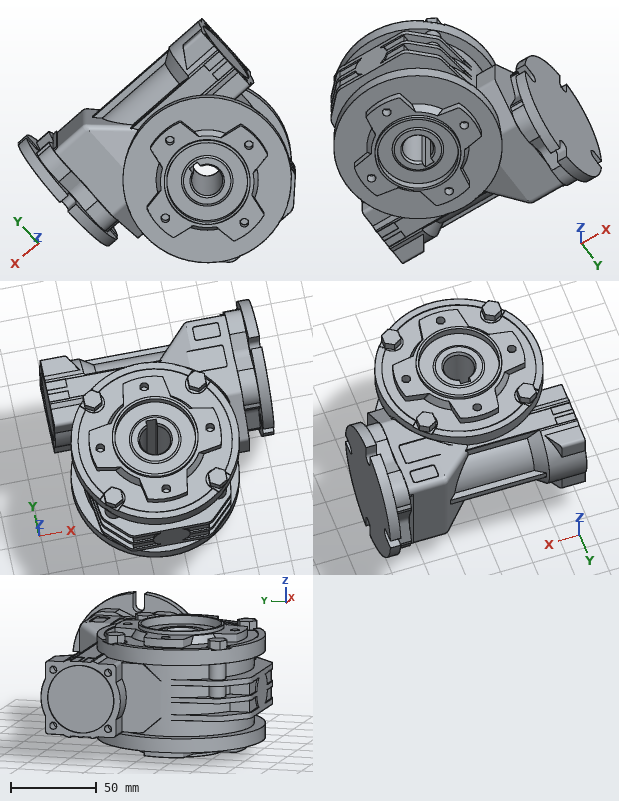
import cadquery as cq
import math


CENTRE_DISTANCE = 45.0

DRUM_DIA = 84.9
DRUM_FLANGE_DIA = 98.0
DRUM_FLANGE_INNER_Z = 21.7
BOTTOM_FLANGE_Z = 30.0
COVER_FLOOR_Z = 30.3
COVER_RIM_Z = 30.9
COVER_RIM_INNER_DIA = 89.7

PAD_FACE_Z = 35.1
PAD_RADIUS = 38.5
PAD_INNER_Y = 13.4
PAD_INNER_HALF_WIDTH = 15.8
PAD_OUTER_HALF_WIDTH = 11.8
PAD_CORNER_RADIUS = 0.8
PAD_HOLE_RADIUS = 32.5
PAD_HOLE_DIA = 5.0
PAD_HOLE_DEPTH = 6.7
CONE_BASE_RADIUS = 29.7
CONE_TOP_RADIUS = 27.2
SPIGOT_DIA = 50.0
SPIGOT_Z = 37.2
SEAL_RECESS_DIA = 47.0
SEAL_RECESS_DEPTH = 5.0
SEAL_FACE_Z = SPIGOT_Z - SEAL_RECESS_DEPTH

SHAFT_DIA = 30.0
SHAFT_BORE_DIA = 18.1
SHAFT_OUTER_CHAMFER = 1.2
SHAFT_BORE_CHAMFER = 1.0
SHAFT_BORE_CHAMFER_DEPTH = 1.9
SHAFT_PROTRUSION = 0.5
SHAFT_END_Z = SEAL_FACE_Z + SHAFT_PROTRUSION
KEYWAY_WIDTH = 6.0
KEYWAY_TOP_Y = 12.2

BOLT_OFFSET = 30.9
BOLT_ACROSS_FLATS = 10.0
BOLT_COLUMN_DIA = 9.9
SPOT_FACE_DIA = 12.5
SPOT_FACE_Z = 30.0
SPOT_FACE_OFFSET = 30.4
SPOT_FACE_LENGTH = 13.4

FIN_FRONT_Y = -DRUM_FLANGE_DIA / 2
FIN_CHAMFER_X = 23.5
FIN_SIDE_X = 38.3
FIN_ROOT_Y = -6.4
FIN_ROOT_X = math.sqrt((DRUM_DIA / 2) ** 2 - FIN_ROOT_Y**2)
FIN_CORNER_RADIUS = 6.7
OUTER_FIN_Z = 12.0
OUTER_FIN_THICKNESS = 3.3
MIDDLE_FIN_HALF_THICKNESS = 1.5
PLUG_BLOCK_HALF_WIDTH = 22.5
PLUG_BLOCK_SETBACK = 1.0
PLUG_DIA = 22.0

WORM_END_X = -54.9
WORM_TUBE_RADIUS = 24.1
WORM_TUBE_HALF_HEIGHT = 22.9
TUBE_CHANNEL_HALF_WIDTH = 6.0
TUBE_CHANNEL_DEPTH = 0.33
WORM_TUBE_INNER_X = 29.5
END_SQUARE_HALF_WIDTH = 21.4
END_SQUARE_HALF_HEIGHT = 21.7
END_SQUARE_FILLET = 2.0
END_SQUARE_OUTER_X = -40.4
END_SQUARE_INNER_X = -33.5
END_SQUARE_INNER_OFFSET = 10.3
NECK_RADIUS = 19.1
NECK_CONE_START_X = -31.9
NECK_CONE_END_X = -24.2
NECK_SIDE_OFFSET = 6.5
WEB_OFFSET = 23.0
WEB_THICKNESS = 4.0
CAP_RECESS_DIA = 40.0
CAP_RECESS_DEPTH = 0.7
END_HOLE_OFFSET = 16.6
END_HOLE_DIA = 4.1
END_HOLE_DEPTH = 8.0
END_SLOT_WIDTH = 5.0
END_SLOT_LENGTH = 11.9
END_SLOT_OFFSET = 3.7
END_SLOT_DEPTH = 0.7
SIDE_WALL_CORNER_Y = 11.0
SIDE_WALL_HALF_HEIGHT = 20.5
SIDE_WALL_LOW_HALF_HEIGHT = 11.0

BLOCK_END_X = 55.5
BLOCK_BACK_Y = 71.4
BLOCK_FRONT_Y = -2.1
BLOCK_HALF_HEIGHT = 28.0
BLOCK_SHOULDER_Y = 20.6
BLOCK_FRONT_HALF_HEIGHT = 8.8
BLOCK_DIAGONAL_X = 32.0
BLOCK_FILLET = 3.2
BLOCK_BACK_FILLET = 3.7
BLOCK_SLOPE_X = 32.0
BLOCK_SLOPE = 0.25
BLOCK_LIP_X = 53.0
BLOCK_LIP_HEIGHT = 1.0
BLOCK_LIP_HALF_HEIGHT = 24.1
COVER_CLEARANCE_RADIUS = 50.7
COVER_CLEARANCE_Z = 25.0
RECESS_DEPTH = 0.7
RECESS_END_X = 50.6
LARGE_RECESS_X = 28.1
LARGE_RECESS_Y = (38.3, 52.1)
SMALL_RECESS_X = 35.3
SMALL_RECESS_Y = (57.8, 66.4)
RECESS_CORNER_RADIUS = 1.3

MOTOR_DISC_DIA = 80.0
MOTOR_DISC_X = 65.2
MOTOR_END_X = 71.6
MOTOR_SLOT_WIDTH = 7.0
MOTOR_SLOT_RADIUS = 32.5
COLLAR_HALF_HEIGHT = 30.1
COLLAR_HALF_WIDTH = 31.0
COLLAR_LOBE_SIDE = 29.6
COLLAR_LOBE_CENTRE_Y = 18.5
COLLAR_LOBE_CENTRE_Z = 19.5
COLLAR_LOBE_RADIUS = 10.7
COLLAR_LOBE_EDGE_Z = 20.0
COLLAR_LEDGE_LOW_Z = 15.8
COLLAR_LEDGE_HIGH_Z = 17.8
COLLAR_FLAT_INNER_Y = 11.6
COLLAR_VALLEY_Y = 26.2
COLLAR_VALLEY_Z = 25.7
COLLAR_VALLEY_RADIUS = 7.4
COLLAR_VALLEY_HALF_WIDTH = 2.4


def box(x_range, y_range, z_range):
    """Box between the given limits on each axis."""
    size = [limits[1] - limits[0] for limits in (x_range, y_range, z_range)]
    corner = (x_range[0], y_range[0], z_range[0])
    return cq.Workplane("XY").box(*size, centered=False).translate(corner)


def disc(diameter, z_low, z_high):
    """Cylinder on the output axis."""
    return cq.Workplane("XY", origin=(0, 0, z_low)).circle(diameter / 2).extrude(z_high - z_low)


def across_worm(x):
    """Plane across the worm axis: local x is Y and local y is Z."""
    return cq.Workplane("YZ", origin=(x, CENTRE_DISTANCE, 0))


def mirror_pair(solid):
    """The solid together with its copy below the middle plane."""
    return solid.union(solid.mirror("XY"))


def square_corners(offset):
    """Four points of a square pattern, each at the given offset along both axes."""
    return [(sx * offset, sy * offset) for sx in (-1, 1) for sy in (-1, 1)]


def make_drum():
    drum = disc(DRUM_DIA, -DRUM_FLANGE_INNER_Z, DRUM_FLANGE_INNER_Z)
    drum = drum.union(disc(DRUM_FLANGE_DIA, -BOTTOM_FLANGE_Z, -DRUM_FLANGE_INNER_Z))
    drum = drum.union(disc(DRUM_FLANGE_DIA, DRUM_FLANGE_INNER_Z, COVER_RIM_Z))
    return drum.cut(disc(COVER_RIM_INNER_DIA, COVER_FLOOR_Z, COVER_RIM_Z))


def make_mounting_face():
    """Four tapered pads, a cone and the spigot, on the +Z end."""
    height = PAD_FACE_Z - BOTTOM_FLANGE_Z
    base = cq.Workplane("XY", origin=(0, 0, BOTTOM_FLANGE_Z))
    outer_corner_y = math.sqrt(PAD_RADIUS**2 - PAD_OUTER_HALF_WIDTH**2)
    pad = (
        base.moveTo(-PAD_INNER_HALF_WIDTH, PAD_INNER_Y)
        .lineTo(PAD_INNER_HALF_WIDTH, PAD_INNER_Y)
        .lineTo(PAD_OUTER_HALF_WIDTH, outer_corner_y)
        .threePointArc((0, PAD_RADIUS), (-PAD_OUTER_HALF_WIDTH, outer_corner_y))
        .close()
        .extrude(height)
        .edges("|Z")
        .edges(">Y")
        .fillet(PAD_CORNER_RADIUS)
    )
    face = (
        cq.Workplane("XZ")
        .moveTo(0, BOTTOM_FLANGE_Z)
        .lineTo(CONE_BASE_RADIUS, BOTTOM_FLANGE_Z)
        .lineTo(CONE_TOP_RADIUS, PAD_FACE_Z)
        .lineTo(SPIGOT_DIA / 2, PAD_FACE_Z)
        .lineTo(SPIGOT_DIA / 2, SPIGOT_Z)
        .lineTo(0, SPIGOT_Z)
        .close()
        .revolve(360, (0, 0, 0), (0, 1, 0))
    )
    for turn in range(4):
        face = face.union(pad.rotate((0, 0, 0), (0, 0, 1), 90 * turn))
    return face


def make_pad_holes():
    return (
        cq.Workplane("XY", origin=(0, 0, PAD_FACE_Z - PAD_HOLE_DEPTH))
        .polarArray(PAD_HOLE_RADIUS, 0, 360, 4)
        .circle(PAD_HOLE_DIA / 2)
        .extrude(PAD_HOLE_DEPTH)
    )


def make_spot_faces():
    """Round-ended cuts that open the cover rim outward at each bolt."""
    cuts = cq.Workplane("XY")
    height = COVER_RIM_Z - SPOT_FACE_Z
    start = SPOT_FACE_OFFSET * math.sqrt(2)
    for turn in range(4):
        plane = cq.Workplane("XY", origin=(0, 0, SPOT_FACE_Z))
        cut = plane.center(start, 0).circle(SPOT_FACE_DIA / 2).extrude(height)
        channel = box(
            (start, start + SPOT_FACE_LENGTH),
            (-SPOT_FACE_DIA / 2, SPOT_FACE_DIA / 2),
            (SPOT_FACE_Z, COVER_RIM_Z),
        )
        cuts = cuts.union(cut.union(channel).rotate((0, 0, 0), (0, 0, 1), 45 + 90 * turn))
    return cuts


def make_bolt_heads():
    across_corners = BOLT_ACROSS_FLATS / math.cos(math.pi / 6)
    hexagon = (
        cq.Workplane("XY", origin=(0, 0, SPOT_FACE_Z))
        .polygon(6, across_corners)
        .extrude(PAD_FACE_Z - SPOT_FACE_Z)
        .rotate((0, 0, 0), (0, 0, 1), 30)
    )
    heads = cq.Workplane("XY")
    for x, y in square_corners(BOLT_OFFSET):
        heads = heads.union(hexagon.translate((x, y, 0)))
    return heads


def make_bolt_columns():
    """Bolt bosses between the cover and the middle fin."""
    return (
        cq.Workplane("XY")
        .pushPoints([(-BOLT_OFFSET, -BOLT_OFFSET), (BOLT_OFFSET, -BOLT_OFFSET)])
        .circle(BOLT_COLUMN_DIA / 2)
        .extrude(DRUM_FLANGE_INNER_Z)
    )


def make_fin(z_low, thickness):
    side_y = FIN_FRONT_Y + FIN_SIDE_X - FIN_CHAMFER_X
    right_side = [(FIN_CHAMFER_X, FIN_FRONT_Y), (FIN_SIDE_X, side_y), (FIN_ROOT_X, FIN_ROOT_Y)]
    left_side = [(-x, y) for x, y in reversed(right_side)]
    return (
        cq.Workplane("XY", origin=(0, 0, z_low))
        .polyline(right_side + left_side)
        .close()
        .extrude(thickness)
        .edges("|Z")
        .edges("not >Y")
        .fillet(FIN_CORNER_RADIUS)
    )


def make_fins():
    outer_low = OUTER_FIN_Z - OUTER_FIN_THICKNESS
    fins = mirror_pair(make_fin(outer_low, OUTER_FIN_THICKNESS))
    fins = fins.union(make_fin(-MIDDLE_FIN_HALF_THICKNESS, 2 * MIDDLE_FIN_HALF_THICKNESS))
    block = box(
        (-PLUG_BLOCK_HALF_WIDTH, PLUG_BLOCK_HALF_WIDTH),
        (FIN_FRONT_Y + PLUG_BLOCK_SETBACK, 0),
        (-outer_low, outer_low),
    )
    plug = cq.Workplane("XZ").circle(PLUG_DIA / 2).extrude(-FIN_FRONT_Y)
    plug = plug.intersect(box((-PLUG_DIA, PLUG_DIA), (FIN_FRONT_Y, 0), (-OUTER_FIN_Z, OUTER_FIN_Z)))
    return fins.union(block).union(plug)


def make_end_square():
    """Square round the tube end; its +Y half ends on a slant, its -Y half runs into the drum."""
    height = 2 * END_SQUARE_HALF_HEIGHT
    base = cq.Workplane("XY", origin=(0, CENTRE_DISTANCE, -END_SQUARE_HALF_HEIGHT))
    back = (
        base.moveTo(WORM_END_X, 0)
        .lineTo(WORM_END_X, END_SQUARE_HALF_WIDTH)
        .lineTo(END_SQUARE_OUTER_X, END_SQUARE_HALF_WIDTH)
        .lineTo(END_SQUARE_INNER_X, END_SQUARE_INNER_OFFSET)
        .lineTo(END_SQUARE_INNER_X, 0)
        .close()
        .extrude(height)
        .edges("|X and >Y")
        .fillet(END_SQUARE_FILLET)
    )
    front = box(
        (WORM_END_X, 0),
        (CENTRE_DISTANCE - END_SQUARE_HALF_WIDTH, CENTRE_DISTANCE),
        (-END_SQUARE_HALF_HEIGHT, END_SQUARE_HALF_HEIGHT),
    )
    front = front.edges("|X and <Y").fillet(END_SQUARE_FILLET)
    return back.union(front)


def make_neck_relief():
    """Material removed on the +Y side of the tube, down to a cone and a slimmer neck."""
    stock = box(
        (NECK_CONE_START_X, WORM_TUBE_INNER_X),
        (CENTRE_DISTANCE + NECK_SIDE_OFFSET, CENTRE_DISTANCE + WORM_TUBE_RADIUS),
        (-WORM_TUBE_RADIUS, WORM_TUBE_RADIUS),
    )
    neck = (
        cq.Workplane("XY", origin=(0, CENTRE_DISTANCE, 0))
        .moveTo(NECK_CONE_START_X, 0)
        .lineTo(NECK_CONE_START_X, WORM_TUBE_RADIUS)
        .lineTo(NECK_CONE_END_X, NECK_RADIUS)
        .lineTo(WORM_TUBE_INNER_X, NECK_RADIUS)
        .lineTo(WORM_TUBE_INNER_X, 0)
        .close()
        .revolve(360, (0, 0, 0), (1, 0, 0))
    )
    return stock.cut(neck)


def make_worm_tube():
    length = WORM_TUBE_INNER_X - WORM_END_X
    slab = across_worm(WORM_END_X).rect(2 * WORM_TUBE_RADIUS, 2 * WORM_TUBE_HALF_HEIGHT).extrude(length)
    tube = across_worm(WORM_END_X).circle(WORM_TUBE_RADIUS).extrude(length).intersect(slab)
    tube = tube.cut(make_neck_relief())
    channel = box(
        (WORM_END_X, WORM_TUBE_INNER_X),
        (CENTRE_DISTANCE - TUBE_CHANNEL_HALF_WIDTH, CENTRE_DISTANCE + TUBE_CHANNEL_HALF_WIDTH),
        (WORM_TUBE_HALF_HEIGHT - TUBE_CHANNEL_DEPTH, WORM_TUBE_HALF_HEIGHT),
    )
    tube = tube.cut(mirror_pair(channel))
    web = box(
        (NECK_CONE_START_X, WORM_TUBE_INNER_X),
        (CENTRE_DISTANCE, CENTRE_DISTANCE + WEB_OFFSET),
        (-WEB_THICKNESS / 2, WEB_THICKNESS / 2),
    )
    return tube.union(web).union(make_end_square())


def make_worm_end_cuts():
    """Cap recess, four screw holes and shallow slots in the top and bottom of the tube end."""
    cuts = across_worm(WORM_END_X).circle(CAP_RECESS_DIA / 2).extrude(CAP_RECESS_DEPTH)
    holes = (
        across_worm(WORM_END_X)
        .pushPoints(square_corners(END_HOLE_OFFSET))
        .circle(END_HOLE_DIA / 2)
        .extrude(END_HOLE_DEPTH)
    )
    cuts = cuts.union(holes)
    for side in (-1, 1):
        slot_y = CENTRE_DISTANCE + side * END_SLOT_OFFSET
        slot = box(
            (WORM_END_X, WORM_END_X + END_SLOT_LENGTH),
            (slot_y - END_SLOT_WIDTH / 2, slot_y + END_SLOT_WIDTH / 2),
            (WORM_TUBE_HALF_HEIGHT - END_SLOT_DEPTH, WORM_TUBE_HALF_HEIGHT),
        )
        cuts = cuts.union(mirror_pair(slot))
    return cuts


def make_side_wall():
    """Flat wall tangent to the drum, beside the worm tube."""
    return (
        cq.Workplane("YZ", origin=(-DRUM_DIA / 2, 0, 0))
        .polyline([
            (CENTRE_DISTANCE, SIDE_WALL_HALF_HEIGHT),
            (SIDE_WALL_CORNER_Y, SIDE_WALL_HALF_HEIGHT),
            (0, SIDE_WALL_LOW_HALF_HEIGHT),
            (0, -SIDE_WALL_LOW_HALF_HEIGHT),
            (SIDE_WALL_CORNER_Y, -SIDE_WALL_HALF_HEIGHT),
            (CENTRE_DISTANCE, -SIDE_WALL_HALF_HEIGHT),
        ])
        .close()
        .extrude(DRUM_DIA / 2)
    )


def make_block_slope():
    """Wedge above the face that falls away toward -X."""
    drop = BLOCK_SLOPE * BLOCK_SLOPE_X
    return (
        cq.Workplane("XZ", origin=(0, BLOCK_BACK_Y, 0))
        .moveTo(BLOCK_SLOPE_X, BLOCK_HALF_HEIGHT)
        .lineTo(0, BLOCK_HALF_HEIGHT - drop)
        .lineTo(0, BLOCK_HALF_HEIGHT)
        .close()
        .extrude(BLOCK_BACK_Y - BLOCK_FRONT_Y)
    )


def make_input_block():
    upper = [
        (BLOCK_FRONT_Y, BLOCK_FRONT_HALF_HEIGHT),
        (BLOCK_SHOULDER_Y, BLOCK_HALF_HEIGHT),
        (BLOCK_BACK_Y, BLOCK_HALF_HEIGHT),
    ]
    lower = [(y, -z) for y, z in reversed(upper)]
    block = cq.Workplane("YZ").polyline(upper + lower).close().extrude(BLOCK_END_X)
    block = block.edges("|X and (not >Y)").fillet(BLOCK_FILLET)
    diagonal = (
        cq.Workplane("XY", origin=(0, 0, -BLOCK_HALF_HEIGHT))
        .moveTo(BLOCK_DIAGONAL_X, BLOCK_BACK_Y)
        .lineTo(0, BLOCK_BACK_Y - BLOCK_DIAGONAL_X)
        .lineTo(0, BLOCK_BACK_Y)
        .close()
        .extrude(2 * BLOCK_HALF_HEIGHT)
    )
    block = block.cut(diagonal).cut(mirror_pair(make_block_slope()))
    block = block.faces(">Y or <(1,-1,0)").edges("(not >X) and (not <X)").fillet(BLOCK_BACK_FILLET)
    lip = box(
        (BLOCK_LIP_X, BLOCK_END_X),
        (CENTRE_DISTANCE, BLOCK_BACK_Y + BLOCK_LIP_HEIGHT),
        (-BLOCK_LIP_HALF_HEIGHT, BLOCK_LIP_HALF_HEIGHT),
    )
    return block.union(lip)


def make_block_recess(x_low, y_range):
    """Shallow rounded pocket in the top of the block."""
    floor_z = BLOCK_HALF_HEIGHT - RECESS_DEPTH
    pocket = box((x_low, RECESS_END_X), y_range, (floor_z, BLOCK_HALF_HEIGHT))
    return pocket.edges("|Z").fillet(RECESS_CORNER_RADIUS)


def make_housing():
    block = make_input_block()
    block = block.cut(disc(2 * COVER_CLEARANCE_RADIUS, COVER_CLEARANCE_Z, BLOCK_HALF_HEIGHT))
    block = block.cut(make_block_recess(LARGE_RECESS_X, LARGE_RECESS_Y))
    block = block.cut(make_block_recess(SMALL_RECESS_X, SMALL_RECESS_Y))

    housing = make_drum()
    for part in (make_side_wall(), make_fins(), make_bolt_columns(), make_worm_tube(), block):
        housing = housing.union(part)
    housing = housing.cut(make_spot_faces())
    housing = housing.union(make_bolt_heads()).union(mirror_pair(make_mounting_face()))
    housing = housing.cut(make_worm_end_cuts()).cut(mirror_pair(make_pad_holes()))
    housing = housing.cut(mirror_pair(disc(SEAL_RECESS_DIA, SEAL_FACE_Z, SPIGOT_Z)))
    return housing.cut(disc(SHAFT_DIA, -SPIGOT_Z, SPIGOT_Z))


def make_output_shaft():
    outer = SHAFT_DIA / 2
    bore = SHAFT_BORE_DIA / 2
    upper_half = (
        cq.Workplane("XZ")
        .moveTo(bore, 0)
        .lineTo(outer, 0)
        .lineTo(outer, SEAL_FACE_Z)
        .lineTo(outer - SHAFT_OUTER_CHAMFER, SHAFT_END_Z)
        .lineTo(bore + SHAFT_BORE_CHAMFER, SHAFT_END_Z)
        .lineTo(bore, SHAFT_END_Z - SHAFT_BORE_CHAMFER_DEPTH)
        .close()
        .revolve(360, (0, 0, 0), (0, 1, 0))
    )
    shaft = mirror_pair(upper_half)
    keyway = box(
        (-KEYWAY_WIDTH / 2, KEYWAY_WIDTH / 2), (0, KEYWAY_TOP_Y), (-SHAFT_END_Z, SHAFT_END_Z)
    )
    return shaft.cut(keyway)


def make_collar_quarter():
    """One lobed quarter of the collar, on the +Y +Z side of the worm axis."""
    valley_run = math.sqrt(COLLAR_VALLEY_RADIUS**2 - COLLAR_VALLEY_HALF_WIDTH**2)
    valley_rise = COLLAR_VALLEY_RADIUS - valley_run
    diagonal = COLLAR_LOBE_RADIUS * math.sqrt(0.5)
    return (
        across_worm(BLOCK_END_X)
        .lineTo(COLLAR_VALLEY_Y, 0)
        .radiusArc((COLLAR_VALLEY_Y + valley_rise, COLLAR_VALLEY_HALF_WIDTH), COLLAR_VALLEY_RADIUS)
        .lineTo(COLLAR_HALF_WIDTH, COLLAR_LEDGE_LOW_Z)
        .lineTo(COLLAR_HALF_WIDTH, COLLAR_LEDGE_HIGH_Z)
        .lineTo(COLLAR_LOBE_SIDE, COLLAR_LOBE_EDGE_Z)
        .threePointArc(
            (COLLAR_LOBE_CENTRE_Y + diagonal, COLLAR_LOBE_CENTRE_Z + diagonal),
            (COLLAR_LOBE_CENTRE_Y, COLLAR_HALF_HEIGHT),
        )
        .lineTo(COLLAR_FLAT_INNER_Y, COLLAR_HALF_HEIGHT)
        .lineTo(COLLAR_VALLEY_HALF_WIDTH, COLLAR_VALLEY_Z + valley_rise)
        .radiusArc((0, COLLAR_VALLEY_Z), COLLAR_VALLEY_RADIUS)
        .close()
        .extrude(MOTOR_DISC_X - BLOCK_END_X)
    )


def make_motor_flange():
    thickness = MOTOR_END_X - MOTOR_DISC_X
    flange = across_worm(MOTOR_DISC_X).circle(MOTOR_DISC_DIA / 2).extrude(thickness)
    slot_length = MOTOR_DISC_DIA / 2 - MOTOR_SLOT_RADIUS
    for turn in range(4):
        round_end = across_worm(MOTOR_DISC_X).center(MOTOR_SLOT_RADIUS, 0).circle(MOTOR_SLOT_WIDTH / 2)
        mouth = across_worm(MOTOR_DISC_X).center(MOTOR_SLOT_RADIUS + slot_length / 2, 0)
        slot = round_end.extrude(thickness).union(
            mouth.rect(slot_length, MOTOR_SLOT_WIDTH).extrude(thickness)
        )
        axis = ((0, CENTRE_DISTANCE, 0), (1, CENTRE_DISTANCE, 0))
        flange = flange.cut(slot.rotate(*axis, 90 * turn))
    quarter = make_collar_quarter()
    half = quarter.union(quarter.mirror("XZ", (0, CENTRE_DISTANCE, 0)))
    return flange.union(mirror_pair(half))


housing = make_housing()
output_shaft = make_output_shaft()
motor_flange = make_motor_flange()

result = cq.Compound.makeCompound([housing.val(), output_shaft.val(), motor_flange.val()])